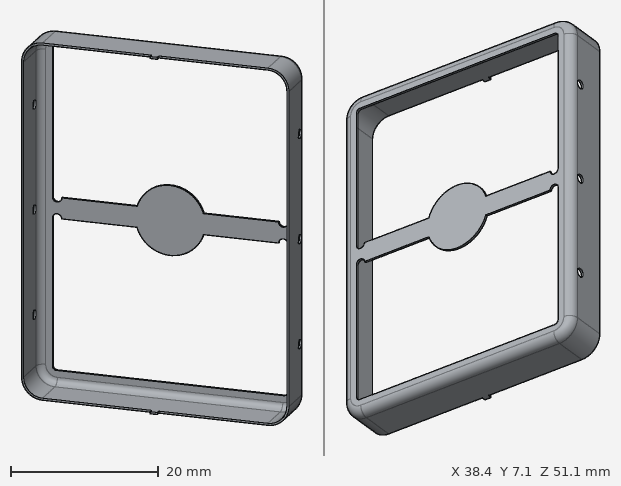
import cadquery as cq

width = 38.4
height = 51.1
depth = 7.1

wall = 0.3
face_thickness = 0.35
tab_length = 0.6
tab_width = 1.0
corner_radius = 3.0
face_edge_radius = 1.35
back_y = depth / 2
rim_y = -depth / 2 + tab_length

border = 2.3
window_corner_radius = 0.6
window_width = width - 2 * border
window_height = height - 2 * border

bar_height = 3.0
disc_radius = 5.0
notch_radius = 0.65

hole_diameter = 1.3
hole_pitch = 15.0
hole_setback = 2.0


def rounded_block(block_width, block_height, front_y, rear_y, radius):
    """Block with rounded corners in XZ, spanning front_y to rear_y."""
    length = rear_y - front_y
    return (
        cq.Workplane("XY")
        .box(block_width, length, block_height)
        .edges("|Y")
        .fillet(radius)
        .translate((0, (front_y + rear_y) / 2, 0))
    )


def face_plate_prism(sketch):
    """Extrude an XZ sketch through the thickness of the closed face."""
    return sketch.extrude(face_thickness).translate((0, back_y, 0))


def make_shell():
    outer = rounded_block(width, height, rim_y, back_y, corner_radius)
    outer = outer.faces(">Y").edges().fillet(face_edge_radius)
    inner = rounded_block(
        width - 2 * wall, height - 2 * wall, rim_y, back_y - face_thickness, corner_radius - wall
    )
    inner = inner.faces(">Y").edges().fillet(face_edge_radius - wall)
    window = rounded_block(window_width, window_height, rim_y, back_y, window_corner_radius)
    return outer.cut(inner).cut(window)


def make_crossbar():
    bar = face_plate_prism(cq.Workplane("XZ").rect(window_width + border / 2, bar_height))
    disc = face_plate_prism(cq.Workplane("XZ").circle(disc_radius))
    return bar.union(disc)


def make_notches():
    notch_spacing = window_width - 2 * notch_radius
    return face_plate_prism(
        cq.Workplane("XZ").rarray(notch_spacing, bar_height, 2, 2).circle(notch_radius)
    )


def make_rim_tabs():
    tab_spacing = height - wall
    return (
        cq.Workplane("XZ", origin=(0, rim_y, 0))
        .rarray(0.5, tab_spacing, 1, 2)
        .rect(tab_width, wall)
        .extrude(tab_length)
    )


def make_side_holes():
    return (
        cq.Workplane("YZ", origin=(0, back_y - hole_setback, 0))
        .rarray(0.5, hole_pitch, 1, 3)
        .circle(hole_diameter / 2)
        .extrude(width, both=True)
    )


result = (
    make_shell()
    .union(make_crossbar())
    .cut(make_notches())
    .union(make_rim_tabs())
    .cut(make_side_holes())
)